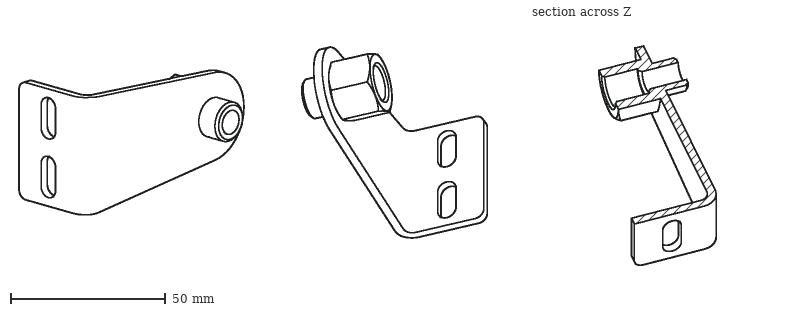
import cadquery as cq
import math

sheet = 3.0
foot_width = 30.0
foot_height = 40.0
foot_corner_radius = 3.0
inner_bend_radius = 3.0
outer_bend_radius = inner_bend_radius + sheet
arm_inner_x = foot_width - sheet

axis_y = 60.0
arm_end_radius = 15.0
arm_end_y = axis_y + arm_end_radius

slot_width = 6.4
slot_length = 14.0
slot_x = 13.0
slot_pitch = 20.0

hex_across_flats = 19.0
hex_length = 14.5
hex_face_diameter = 18.8
hex_chamfer_angle = 30.0
hex_start_x = arm_inner_x - hex_length
spigot_diameter = 13.157
spigot_length = 8.0
spigot_chamfer = 0.85
spigot_end_x = foot_width + spigot_length

through_diameter = 8.0
seat_diameter = 10.0
socket_diameter = 11.5
socket_depth = 12.0
socket_mouth_diameter = spigot_diameter


def make_bent_sheet():
    """L-shaped strip of full foot height with a rounded bend."""
    return (
        cq.Workplane("XY")
        .workplane(offset=-foot_height / 2)
        .lineTo(foot_width, 0)
        .lineTo(foot_width, arm_end_y)
        .lineTo(arm_inner_x, arm_end_y)
        .lineTo(arm_inner_x, sheet)
        .lineTo(0, sheet)
        .close()
        .extrude(foot_height)
        .edges(cq.selectors.NearestToPointSelector((arm_inner_x, sheet, 0)))
        .fillet(inner_bend_radius)
        .edges(cq.selectors.NearestToPointSelector((foot_width, 0, 0)))
        .fillet(outer_bend_radius)
        .edges("|Y and <X")
        .fillet(foot_corner_radius)
    )


def make_side_outline():
    """Tapered outline: straight over the foot, then tangent to the round arm end."""
    half_height = foot_height / 2
    taper_run = axis_y - sheet
    corner_distance = math.hypot(taper_run, half_height)
    tangent_angle = math.pi - math.atan2(half_height, taper_run) - math.acos(arm_end_radius / corner_distance)
    tangent_y = axis_y + arm_end_radius * math.cos(tangent_angle)
    tangent_z = arm_end_radius * math.sin(tangent_angle)
    return (
        cq.Workplane("YZ")
        .moveTo(0, -half_height)
        .lineTo(sheet, -half_height)
        .lineTo(tangent_y, -tangent_z)
        .threePointArc((arm_end_y, 0), (tangent_y, tangent_z))
        .lineTo(sheet, half_height)
        .lineTo(0, half_height)
        .close()
        .extrude(foot_width)
    )


def make_slots():
    """Two upright slots, one above the other, through the foot."""
    return (
        cq.Workplane("XZ")
        .pushPoints([(slot_x, -slot_pitch / 2), (slot_x, slot_pitch / 2)])
        .slot2D(slot_length, slot_width, 90)
        .extrude(-sheet)
    )


def revolve_about_fitting_axis(profile):
    """Solid of revolution from (x, radius) points about the fitting axis."""
    return (
        cq.Workplane("XY")
        .polyline(profile)
        .close()
        .revolve(360, (0, 0), (1, 0))
        .translate((0, axis_y, 0))
    )


def make_hexagon():
    """Hexagon with corners towards +Z and -Z, chamfered conically at both ends."""
    corner_radius = hex_across_flats / math.sqrt(3)
    face_radius = hex_face_diameter / 2
    chamfer_depth = (corner_radius - face_radius) * math.tan(math.radians(hex_chamfer_angle))
    prism = (
        cq.Workplane("YZ", origin=(hex_start_x, axis_y, 0))
        .transformed(rotate=(0, 0, 90))
        .polygon(6, 2 * corner_radius)
        .extrude(hex_length)
    )
    envelope = revolve_about_fitting_axis([
        (hex_start_x, 0),
        (hex_start_x, face_radius),
        (hex_start_x + chamfer_depth, corner_radius),
        (arm_inner_x - chamfer_depth, corner_radius),
        (arm_inner_x, face_radius),
        (arm_inner_x, 0),
    ])
    return prism.intersect(envelope)


def make_spigot():
    """Round spigot passing through the arm, chamfered at its free end."""
    radius = spigot_diameter / 2
    return revolve_about_fitting_axis([
        (arm_inner_x, 0),
        (arm_inner_x, radius),
        (spigot_end_x - spigot_chamfer, radius),
        (spigot_end_x, radius - spigot_chamfer),
        (spigot_end_x, 0),
    ])


def make_bore():
    """Countersunk socket from the hexagon face, then a countersunk through hole."""
    mouth_radius = socket_mouth_diameter / 2
    socket_radius = socket_diameter / 2
    seat_radius = seat_diameter / 2
    through_radius = through_diameter / 2
    socket_floor_x = hex_start_x + socket_depth
    return revolve_about_fitting_axis([
        (hex_start_x, 0),
        (hex_start_x, mouth_radius),
        (hex_start_x + mouth_radius - socket_radius, socket_radius),
        (socket_floor_x, socket_radius),
        (socket_floor_x, seat_radius),
        (socket_floor_x + seat_radius - through_radius, through_radius),
        (spigot_end_x, through_radius),
        (spigot_end_x, 0),
    ])


bracket = make_bent_sheet().intersect(make_side_outline()).cut(make_slots())
result = bracket.union(make_hexagon()).union(make_spigot()).cut(make_bore())